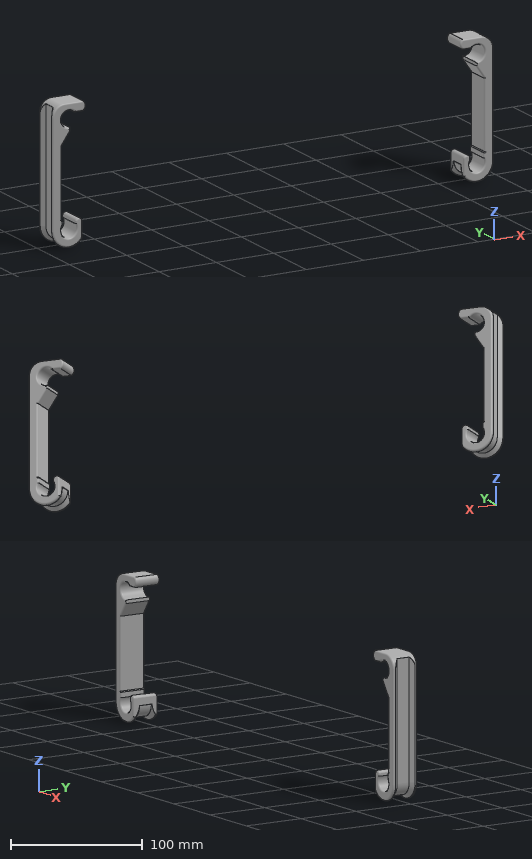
import cadquery as cq
import math

span = 384.5
height = 114.5
depth = 22.0

hook_radius = 14.2
seat_radius = 7.0
seat_x = hook_radius
lower_seat_z = hook_radius
upper_seat_z = 102.0

neck_half_width = 5.8
hook_width = 25.8
hook_top_z = 22.3
lip_top_z = 23.0

stem_thickness = 7.5
arm_length = 29.0
arm_bottom_z = 106.5
top_corner_radius = 10.5

tooth_x = 15.5
tooth_z = 92.3
tooth_root_z = 81.0

end_bulge = 2.3
edge_fillet = 1.5

groove_depth = 3.0
groove_floor_width = 10.8
groove_top_width = 17.5


def chord_half(radius, distance):
    """Half length of a circle's chord at a distance from its centre."""
    return math.sqrt(radius**2 - distance**2)


def make_profile():
    """Side outline: x runs from the outer face inwards, the second value is z."""
    corner_mid = top_corner_radius * (1 - math.sqrt(0.5))
    upper_seat_start_x = seat_x + chord_half(seat_radius, arm_bottom_z - upper_seat_z)
    tooth_top_z = upper_seat_z - chord_half(seat_radius, tooth_x - seat_x)
    neck_z = lower_seat_z + chord_half(seat_radius, neck_half_width)
    flat_bottom_z = lower_seat_z - chord_half(hook_radius, hook_width - seat_x)
    arm_shoulder_x = arm_length - end_bulge
    tip_inner_x = seat_x + neck_half_width
    tip_shoulder_z = hook_top_z - end_bulge
    lip_rise = seat_x - neck_half_width - stem_thickness
    return (
        cq.Workplane("XZ", origin=(0, depth / 2, 0))
        .moveTo(0, lower_seat_z)
        .lineTo(0, height - top_corner_radius)
        .threePointArc((corner_mid, height - corner_mid), (top_corner_radius, height))
        .lineTo(arm_shoulder_x, height)
        .threePointArc((arm_length, (height + arm_bottom_z) / 2), (arm_shoulder_x, arm_bottom_z))
        .lineTo(upper_seat_start_x, arm_bottom_z)
        .threePointArc((seat_x - seat_radius, upper_seat_z), (tooth_x, tooth_top_z))
        .lineTo(tooth_x, tooth_z)
        .lineTo(stem_thickness, tooth_root_z)
        .lineTo(stem_thickness, lip_top_z)
        .lineTo(stem_thickness + lip_rise, lip_top_z - lip_rise)
        .lineTo(seat_x - neck_half_width, neck_z)
        .threePointArc((seat_x, lower_seat_z - seat_radius), (tip_inner_x, neck_z))
        .lineTo(tip_inner_x, tip_shoulder_z)
        .threePointArc(((tip_inner_x + hook_width) / 2, hook_top_z), (hook_width, tip_shoulder_z))
        .lineTo(hook_width, flat_bottom_z)
        .threePointArc((seat_x, 0), (0, lower_seat_z))
        .close()
    )


def make_groove():
    """Tapered groove down the outer face and round the bottom of the hook."""
    section = [
        (0, -groove_top_width / 2),
        (groove_depth, -groove_floor_width / 2),
        (groove_depth, groove_floor_width / 2),
        (0, groove_top_width / 2),
    ]
    plane = cq.Workplane("XY", origin=(0, 0, lower_seat_z))
    axis_start = (seat_x, 0, 0)
    axis_end = (seat_x, -1, 0)
    straight = plane.polyline(section).close().extrude(height)
    bend = plane.polyline(section).close().revolve(180, axis_start, axis_end)
    return straight.union(bend)


def make_left_bracket():
    """Left bracket, its outer face on the span's left end."""
    body = make_profile().extrude(depth)
    body = body.faces("<Y or >Y").fillet(edge_fillet)
    return body.cut(make_groove()).translate((-span / 2, 0, 0))


def make_bracket(side):
    """One bracket of the facing pair: side is "left" or "right"."""
    bracket = make_left_bracket()
    if side == "right":
        bracket = bracket.mirror("YZ")
    return bracket


brackets = [make_bracket(side) for side in ("left", "right")]
result = cq.Compound.makeCompound([bracket.val() for bracket in brackets])